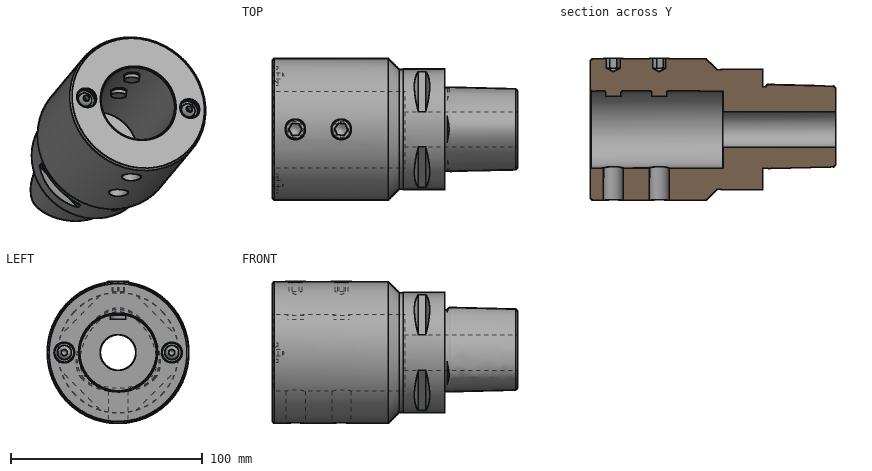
import cadquery as cq
import math

total_length = 128.0
shank_length = 38.0
flange_end = total_length - shank_length
cone_start = 60.4
cone_end = 66.2
neck_end = 68.2
bore_depth = 69.1

body_radius = 74.0 / 2
flange_radius = 63.0 / 2
neck_radius = 62.6 / 2
front_chamfer = 1.0
bore_radius = 40.0 / 2
bore_chamfer = 0.6
through_radius = 18.4 / 2

shank_mean_radius = 22.0
lobe_count = 3
lobe_height = 1.5
land_length = 2.0
land_undersize = 0.1
lead_in_length = 1.0
taper_per_length = 1 / 40
shank_tip_chamfer = 1.2
relief_radius = 22.4
relief_length = 1.2

groove_x = 78.1
groove_floor_width = 3.7
groove_floor_radius = 27.8
groove_wall_angle = 30.0
groove_clearance = 1.3

screw_x_positions = (12.0, 36.0)
socket_turns = (0.0, -7.0)
screw_radius = 10.8 / 2
screw_top_radius = 10.0 / 2
screw_top = 37.2
screw_tip_radius = 8.0 / 2
screw_tip_z = 17.3
screw_tip_length = 2.0
hex_across_flats = 6.0
hex_depth = 5.1
socket_cone_depth = 1.8
cross_hole_radius = 10.1 / 2

nozzle_offset = 28.0
nozzle_seat_radius = 10.8 / 2
nozzle_radius = 10.0 / 2
nozzle_depth = 2.8
ball_radius = 8.0 / 2
cap_base_radius = 7.4 / 2
jet_radius = 3.2 / 2
jet_depth = 5.1
drill_point_angle = 118.0


def revolve_about_x(points):
    """Solid of revolution about the X axis from (x, radius) points."""
    return cq.Workplane("XY").polyline(points).close().revolve(360, (0, 0, 0), (1, 0, 0))


def turned_body():
    return revolve_about_x([
        (0, 0),
        (0, body_radius - front_chamfer),
        (front_chamfer, body_radius),
        (cone_start, body_radius),
        (cone_end, neck_radius),
        (neck_end, neck_radius),
        (neck_end, flange_radius),
        (flange_end, flange_radius),
        (flange_end, 0),
    ])


def lobe_point(mean_radius, angle):
    """Point of the lobed outline whose outward normal lies at this angle from +Y."""
    phase = lobe_count * (angle - math.pi / 2)
    reach = mean_radius + lobe_height * math.cos(phase)
    slope = -lobe_count * lobe_height * math.sin(phase)
    y = reach * math.cos(angle) - slope * math.sin(angle)
    z = reach * math.sin(angle) + slope * math.cos(angle)
    return (y, z)


def lobed_outline(workplane, mean_radius):
    """Closed outline of equal lobes, one of them pointing to +Z."""
    steps = 12
    lobe_angle = 2 * math.pi / lobe_count
    first_angle = math.pi / 2 - lobe_angle / 2
    outline = workplane.moveTo(*lobe_point(mean_radius, first_angle))
    for lobe in range(lobe_count):
        start = first_angle + lobe * lobe_angle
        end = start + lobe_angle
        points = [lobe_point(mean_radius, start + lobe_angle * i / steps) for i in range(1, steps + 1)]
        tangents = [(-math.sin(a), math.cos(a)) for a in (start, end)]
        outline = outline.spline(points, tangents=tangents, includeCurrent=True)
    return outline.close()


def lobed_section(start, length, start_mean_radius, end_mean_radius):
    """Length of shank whose outline changes evenly from one mean radius to another."""
    section = lobed_outline(cq.Workplane("YZ", origin=(start, 0, 0)), start_mean_radius)
    return lobed_outline(section.workplane(offset=length), end_mean_radius).loft(ruled=True)


def shank():
    """Short parallel land at the flange, a lead-in and the long taper to the chamfered tip."""
    land_radius = shank_mean_radius - land_undersize
    lead_in_start = flange_end + land_length
    taper_start = lead_in_start + lead_in_length
    taper_length = total_length - taper_start
    tip_radius = shank_mean_radius - taper_length * taper_per_length
    land = lobed_section(flange_end, land_length, land_radius, land_radius)
    lead_in = lobed_section(lead_in_start, lead_in_length, land_radius, shank_mean_radius)
    taper = lobed_section(taper_start, taper_length, shank_mean_radius, tip_radius)
    taper = taper.faces(">X").edges().chamfer(shank_tip_chamfer)
    return land.union(lead_in).union(taper).cut(lobe_relief())


def lobe_relief():
    """Ring that trims the lobes to a circle next to the flange, running out at 45 degrees."""
    outer_radius = shank_mean_radius + 2 * lobe_height
    relief_end = flange_end + relief_length
    return revolve_about_x([
        (flange_end, relief_radius),
        (relief_end, relief_radius),
        (relief_end + outer_radius - relief_radius, outer_radius),
        (flange_end, outer_radius),
    ])


def bores():
    main_bore = revolve_about_x([
        (0, 0),
        (0, bore_radius + bore_chamfer),
        (bore_chamfer, bore_radius),
        (bore_depth, bore_radius),
        (bore_depth, 0),
    ])
    return main_bore.union(cq.Workplane("YZ").circle(through_radius).extrude(total_length))


def gripper_groove(angle):
    """Straight tangential groove with sloping walls, turned about X to the given angle from +Z."""
    groove_height = flange_radius - groove_floor_radius + groove_clearance
    half_floor = groove_floor_width / 2
    half_mouth = half_floor + groove_height * math.tan(math.radians(groove_wall_angle))
    groove_top = groove_floor_radius + groove_height
    groove = (
        cq.Workplane("XZ")
        .polyline([
            (groove_x - half_floor, groove_floor_radius),
            (groove_x + half_floor, groove_floor_radius),
            (groove_x + half_mouth, groove_top),
            (groove_x - half_mouth, groove_top),
        ])
        .close()
        .extrude(flange_radius, both=True)
    )
    return groove.rotate((0, 0, 0), (1, 0, 0), angle)


def screw(x):
    """Clamping screw standing slightly proud of the body, its tip reaching into the bore."""
    edge = screw_radius - screw_top_radius
    tip_root_z = screw_tip_z + screw_tip_length
    thread_end = tip_root_z + screw_radius - screw_tip_radius
    return (
        cq.Workplane("XZ", origin=(x, 0, 0))
        .polyline([
            (0, screw_tip_z),
            (screw_tip_radius, screw_tip_z),
            (screw_tip_radius, tip_root_z),
            (screw_radius, thread_end),
            (screw_radius, screw_top - edge),
            (screw_top_radius, screw_top),
            (0, screw_top),
        ])
        .close()
        .revolve(360, (0, 0, 0), (0, 1, 0))
    )


def hex_socket(x, turn):
    """Hexagonal socket with a conical floor."""
    corner_radius = hex_across_flats / math.sqrt(3)
    top = cq.Workplane("XY", origin=(x, 0, screw_top))
    prism = top.polygon(6, 2 * corner_radius).extrude(-hex_depth - socket_cone_depth)
    prism = prism.rotate((x, 0, 0), (x, 0, 1), turn)
    pointed_pin = (
        cq.Workplane("XZ", origin=(x, 0, 0))
        .polyline([
            (0, screw_top),
            (corner_radius, screw_top),
            (corner_radius, screw_top - hex_depth),
            (0, screw_top - hex_depth - socket_cone_depth),
        ])
        .close()
        .revolve(360, (0, 0, 0), (0, 1, 0))
    )
    return prism.intersect(pointed_pin)


def cross_hole(x):
    """Radial hole opposite a clamping screw, open to the bore and to the outside."""
    return cq.Workplane("XY", origin=(x, 0, 0)).circle(cross_hole_radius).extrude(-body_radius)


def nozzle_cut(y):
    """Countersunk recess that leaves a ball cap standing on its floor, with a jet hole drilled into it."""
    seat_chamfer = nozzle_seat_radius - nozzle_radius
    cap_base_offset = math.sqrt(ball_radius**2 - cap_base_radius**2)
    cap_top_offset = math.sqrt(ball_radius**2 - jet_radius**2)
    cap_height = cap_top_offset - cap_base_offset
    drill_point = jet_radius / math.tan(math.radians(drill_point_angle / 2))
    cut = (
        cq.Workplane("XY")
        .moveTo(0, 0)
        .lineTo(0, nozzle_seat_radius)
        .lineTo(seat_chamfer, nozzle_radius)
        .lineTo(nozzle_depth, nozzle_radius)
        .lineTo(nozzle_depth, cap_base_radius)
        .radiusArc((nozzle_depth - cap_height, jet_radius), -ball_radius)
        .lineTo(jet_depth, jet_radius)
        .lineTo(jet_depth + drill_point, 0)
        .close()
        .revolve(360, (0, 0, 0), (1, 0, 0))
    )
    return cut.translate((0, y, 0))


result = turned_body().union(shank()).cut(bores())

for groove_angle in (45, 135, 225, 315):
    result = result.cut(gripper_groove(groove_angle))

for screw_x, socket_turn in zip(screw_x_positions, socket_turns):
    result = result.union(screw(screw_x))
    result = result.cut(hex_socket(screw_x, socket_turn))
    result = result.cut(cross_hole(screw_x))

for nozzle_y in (-nozzle_offset, nozzle_offset):
    result = result.cut(nozzle_cut(nozzle_y))